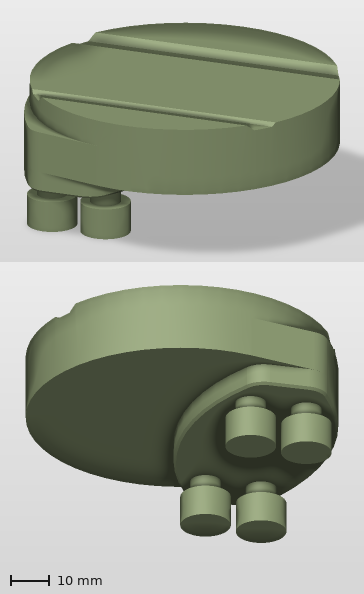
import cadquery as cq
import math

head_top = 8.15
plate_bottom = 12.5
disc_bottom = 18.15
shoulder_top = 29.0
groove_floor = 34.3
center_land = 35.25
front_land = 36.0
rear_land = 36.2

disc_radius = 79.95 / 2

plate_right = 0.0
plate_left = -disc_radius
plate_half_width = 35.1
side_arc_radius = 59.95
corner_radius = 6.4
bottom_chamfer = 0.6
plate_center = (plate_left + plate_right) / 2

tangent_x = -8.8

shank_diameter = 8.0
head_diameter = 13.0
screw_spacing_x = 14.8
screw_spacing_y = 46.85

rear_groove_edge = 21.75
front_groove_edge = -28.1
groove_floor_width = 4.15


def cylinder(x, y, radius, bottom, top):
    return cq.Workplane("XY", origin=(x, y, bottom)).circle(radius).extrude(top - bottom)


def make_disc():
    """Disc whose top is stepped by two sloped-wall grooves, extruded along X."""
    rear_floor = rear_groove_edge - (rear_land - groove_floor)
    front_floor = front_groove_edge + (front_land - groove_floor)
    inner_rise = center_land - groove_floor
    profile = [
        (-disc_radius, disc_bottom),
        (disc_radius, disc_bottom),
        (disc_radius, rear_land),
        (rear_groove_edge, rear_land),
        (rear_floor, groove_floor),
        (rear_floor - groove_floor_width, groove_floor),
        (rear_floor - groove_floor_width - inner_rise, center_land),
        (front_floor + groove_floor_width + inner_rise, center_land),
        (front_floor + groove_floor_width, groove_floor),
        (front_floor, groove_floor),
        (front_groove_edge, front_land),
        (-disc_radius, front_land),
    ]
    top_shape = cq.Workplane("YZ").polyline(profile).close().extrude(disc_radius, both=True)
    return cylinder(0, 0, disc_radius, disc_bottom, rear_land).intersect(top_shape)


def left_arc_cylinder(bottom, top):
    return cylinder(plate_left + side_arc_radius, 0, side_arc_radius, bottom, top)


def make_plate():
    """Lens-shaped plate with rounded corners and a chamfered underside."""
    height = disc_bottom - plate_bottom
    flats = cq.Workplane("XY", origin=(plate_center, 0, plate_bottom)).rect(
        2 * side_arc_radius, 2 * plate_half_width
    ).extrude(height)
    right_arc = cylinder(plate_right - side_arc_radius, 0, side_arc_radius, plate_bottom, disc_bottom)
    lens = left_arc_cylinder(plate_bottom, disc_bottom).intersect(right_arc).intersect(flats)
    return lens.edges("|Z").fillet(corner_radius).faces("<Z").chamfer(bottom_chamfer)


def make_shoulders():
    """Left arc bounded by lines tangent to the disc, with rounded outer corners."""
    tangent_y = math.sqrt(disc_radius**2 - tangent_x**2)
    slope = -tangent_x / tangent_y
    outer_y = tangent_y - slope * (tangent_x - plate_left)
    outline = [
        (tangent_x, -tangent_y),
        (tangent_x, tangent_y),
        (plate_left, outer_y),
        (plate_left, -outer_y),
    ]
    wedge = cq.Workplane("XY", origin=(0, 0, disc_bottom)).polyline(outline).close()
    wedge = wedge.extrude(shoulder_top - disc_bottom)
    shoulders = wedge.intersect(left_arc_cylinder(disc_bottom, shoulder_top))
    corners = cq.selectors.BoxSelector(
        (plate_left, -disc_radius, disc_bottom), (tangent_x - corner_radius, disc_radius, shoulder_top)
    )
    return shoulders.edges("|Z").edges(corners).fillet(corner_radius)


def make_screw(x, y):
    shank = cylinder(x, y, shank_diameter / 2, 0, plate_bottom)
    return shank.union(cylinder(x, y, head_diameter / 2, 0, head_top))


result = make_disc().union(make_shoulders()).union(make_plate())
for side_x in (-1, 1):
    for side_y in (-1, 1):
        screw_x = plate_center + side_x * screw_spacing_x / 2
        screw_y = side_y * screw_spacing_y / 2
        result = result.union(make_screw(screw_x, screw_y))